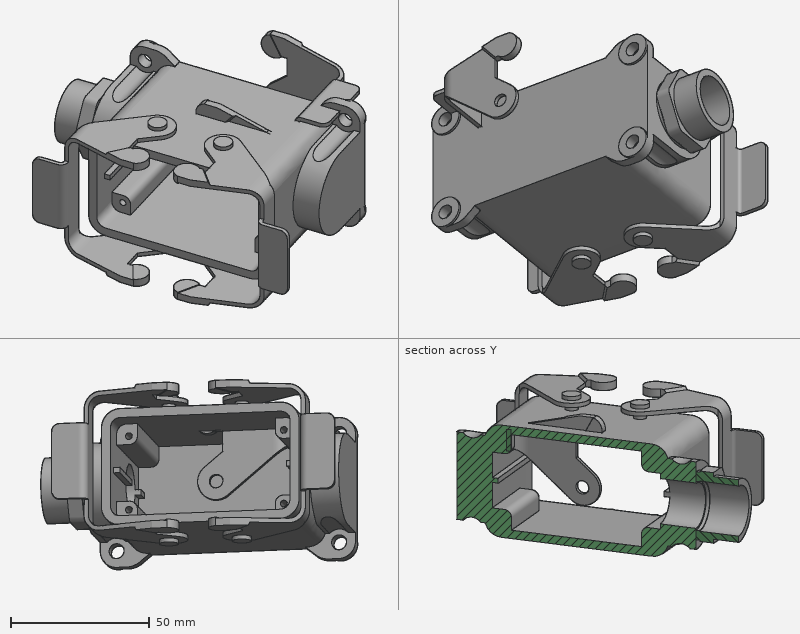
import cadquery as cq
import math


body_length = 72.8
body_height = 43.0
body_corner = 7.0
wall = 3.4
cavity_corner = body_corner - wall
rim_depth = 5.8
back_y = 55.9
floor_thickness = 3.5
draft_angle = 0.2

boss_end = 47.0
boss_radius = 16.7
boss_y = 37.2
boss_hole_diameter = 17.0

ear_radius = 6.0
ear_hole_diameter = 5.5
ear_x = boss_end - ear_radius
ear_z = 20.0
ear_thickness = 3.7
ear_pad_height = 0.9
ear_flat_end = 37.0
ear_shoulder_radius = 7.5
ear_foot_x = 28.7
ear_foot_angle = 45.0
screw_groove_radius = 4.9

post_size = 7.6
post_corner = 2.9
post_y = 11.6
post_hole_inset = 4.5
post_hole_diameter = 2.4
post_hole_depth = 11.6
rib_width = 2.0
rib_height = 2.3

pivot_x = 13.4
pivot_y = 9.8
pin_diameter = 4.9
pin_head_diameter = 7.0
pin_end = 27.2

gland_end = 63.7
pipe_diameter = 24.0
pipe_bore = 18.9
nut_flats = 26.9
nut_corner = 2.9
nut_start = 53.8
nut_end = 48.4
collar_diameter = 26.0
collar_bore = 18.4

sheet = 1.6
lever_x = 40.8
lever_z = 25.7
lever_bend = 6.0
bar_top = -2.3
bar_bottom = -10.3
eye_radius = 6.8
lever_hole_diameter = 5.0
arm_angle = 39.5
notch_x = 15.9
notch_y = -8.8
hook_x = 10.4
hook_y = -12.5
hook_radius = 4.9
hook_bottom = -17.1
hook_flat_end = 14.4
lower_edge_angle = 15.0
outer_pad = 1.2
outer_pad_slope = 0.7
inner_pad = 0.3
step_angle = 49.5
inner_step_offset = 0.7
inner_step_run = 4.5
tab_width = 27.8
tab_end = 52.1
tab_y = -13.8
tab_bend = 2.9
tab_corner = 2.9

loose_lever_shift = (-pivot_x, 55.8, 9.5)

overlap = 1.2

diagonal = math.sqrt(0.5)


def block(x0, x1, y0, y1, z0, z1):
    """Box between two opposite corners."""
    return cq.Workplane("XY").box(x1 - x0, y1 - y0, z1 - z0, centered=False).translate((x0, y0, z0))


def facing_back(y):
    """Sketch plane at height y with local axes along -X and Z, and normal +Y."""
    return cq.Workplane("XZ", origin=(0, y, 0)).transformed(rotate=(0, 180, 0))


def rod_x(diameter, x0, x1):
    """Cylinder along X on the axis of the side bosses."""
    return cq.Workplane("YZ", origin=(x0, boss_y, 0)).circle(diameter / 2).extrude(x1 - x0)


def drafted_box(length, height, corner, depth):
    """Rounded box along Y: straight over the rim depth, slightly tapered behind it."""
    outline = cq.Sketch().rect(length, height).vertices().fillet(corner)
    rim = facing_back(0).placeSketch(outline).extrude(rim_depth)
    rear = facing_back(rim_depth).placeSketch(outline).extrude(depth - rim_depth, taper=draft_angle)
    return rim.union(rear)


def make_boss():
    """Side boss at +X: a round front that runs straight into the mounting back."""
    return (
        cq.Workplane("YZ")
        .moveTo(back_y, -boss_radius)
        .lineTo(boss_y, -boss_radius)
        .threePointArc((boss_y - boss_radius, 0), (boss_y, boss_radius))
        .lineTo(back_y, boss_radius)
        .close()
        .extrude(boss_end)
    )


def make_ear():
    """Mounting ear at +X +Z: round corner, flat top, rounded shoulder and sloping foot."""
    top = ear_z + ear_radius
    bevel = math.radians(ear_foot_angle)
    shoulder_mid = bevel / 2
    shoulder_z = top - ear_shoulder_radius
    corner = ear_radius * diagonal
    shoulder_end_x = ear_flat_end - ear_shoulder_radius * math.sin(bevel)
    shoulder_end_z = shoulder_z + ear_shoulder_radius * math.cos(bevel)
    plate = (
        cq.Workplane("XZ", origin=(0, back_y, 0))
        .moveTo(boss_end, 0)
        .lineTo(boss_end, ear_z)
        .threePointArc((ear_x + corner, ear_z + corner), (ear_x, top))
        .lineTo(ear_flat_end, top)
        .threePointArc(
            (
                ear_flat_end - ear_shoulder_radius * math.sin(shoulder_mid),
                shoulder_z + ear_shoulder_radius * math.cos(shoulder_mid),
            ),
            (shoulder_end_x, shoulder_end_z),
        )
        .lineTo(ear_foot_x, body_height / 2)
        .lineTo(ear_foot_x, 0)
        .close()
        .extrude(ear_thickness)
    )
    pad = (
        cq.Workplane("XZ", origin=(ear_x, back_y + ear_pad_height, ear_z))
        .circle(ear_radius)
        .extrude(ear_pad_height + ear_thickness)
    )
    return plate.union(pad)


def ear_cutter():
    """Mounting hole at +X +Z and the groove in the boss that clears its screw."""
    hole = (
        cq.Workplane("XZ", origin=(ear_x, back_y + ear_pad_height, ear_z))
        .circle(ear_hole_diameter / 2)
        .extrude(back_y)
    )
    groove = (
        cq.Workplane("XZ", origin=(ear_x, back_y - ear_thickness, ear_z))
        .circle(screw_groove_radius)
        .extrude(back_y - ear_thickness)
    )
    return hole.union(groove)


def make_post():
    """Screw post in the +X +Z corner of the cavity."""
    side_x = body_length / 2 - wall
    side_z = body_height / 2 - wall
    start_x = side_x - post_size
    start_z = side_z - post_size
    post = block(start_x, side_x + overlap, post_y, back_y - overlap, start_z, side_z + overlap)
    post = post.edges("|Y and <X and <Z").fillet(post_corner)
    post = post.edges("|Y and >X and >Z").fillet(cavity_corner)
    hole_x = side_x - post_hole_inset
    hole_z = side_z - post_hole_inset
    hole = (
        cq.Workplane("XZ", origin=(hole_x, post_y + post_hole_depth, hole_z))
        .circle(post_hole_diameter / 2)
        .extrude(post_hole_depth)
    )
    return post.cut(hole)


def make_rib():
    """Rib along Y on the middle of the +X cavity wall."""
    side_x = body_length / 2 - wall
    return block(
        side_x - rib_height, side_x + overlap, rim_depth, back_y - overlap, -rib_width / 2, rib_width / 2
    )


def make_pin():
    """Pivot pin at +X +Z with its head outside the lever."""
    wall_z = body_height / 2 - wall / 2
    plane = cq.Workplane("XY", origin=(pivot_x, pivot_y, 0))
    shaft = plane.workplane(offset=wall_z).circle(pin_diameter / 2).extrude(pin_end - wall_z)
    head = plane.workplane(offset=lever_z).circle(pin_head_diameter / 2).extrude(pin_end - lever_z)
    return shaft.union(head)


def left_and_right(shape):
    """The shape together with its mirror image in X."""
    return shape.union(shape.mirror("YZ"))


def four_corners(shape):
    """The shape repeated in all four X, Z corners."""
    pair = left_and_right(shape)
    return pair.union(pair.mirror("XY"))


def make_housing():
    """Housing shell with bosses, ears, posts, ribs and pivot pins."""
    housing = drafted_box(body_length, body_height, body_corner, back_y)
    housing = housing.union(left_and_right(make_boss()))
    housing = housing.union(four_corners(make_ear()))
    housing = housing.cut(four_corners(ear_cutter()))
    cavity_length = body_length - 2 * wall
    cavity_height = body_height - 2 * wall
    cavity = drafted_box(cavity_length, cavity_height, cavity_corner, back_y - floor_thickness)
    housing = housing.cut(cavity)
    housing = housing.union(left_and_right(make_rib()))
    housing = housing.cut(rod_x(boss_hole_diameter, -boss_end, -body_length / 2 + wall + rib_height))
    housing = housing.union(four_corners(make_post()))
    return housing.union(four_corners(make_pin()))


def make_gland():
    """Cable gland on the -X boss: pipe, hexagon nut and collar, bored through."""
    pipe = rod_x(pipe_diameter, -gland_end, -nut_end)
    nut = (
        cq.Workplane("YZ", origin=(-nut_start, boss_y, 0))
        .polygon(6, nut_flats / math.cos(math.radians(30)))
        .extrude(nut_start - nut_end)
        .edges("|X")
        .fillet(nut_corner)
    )
    collar = rod_x(collar_diameter, -nut_end, -boss_end)
    gland = pipe.union(nut).union(collar)
    gland = gland.cut(rod_x(pipe_bore, -gland_end, -nut_end))
    return gland.cut(rod_x(collar_bore, -nut_end, -boss_end))


def arm_outline():
    """Flat outline of the lever seen along Z: eye, arm, notch, hook and bar end."""
    tilt = math.radians(arm_angle)
    rise = math.radians(lower_edge_angle)
    slope = math.tan(tilt)
    side_x = eye_radius * math.sin(tilt)
    side_y = eye_radius * math.cos(tilt)
    upper = (pivot_x + side_x, pivot_y + side_y)
    lower = (pivot_x - side_x, pivot_y - side_y)
    bar_corner_x = upper[0] + (upper[1] - bar_top) / slope
    notch_top_y = lower[1] - (notch_x - lower[0]) * slope
    hook_flat_start = hook_x - math.sqrt(hook_radius**2 - (hook_bottom - hook_y) ** 2)
    hook_join_x = hook_x + math.sqrt(hook_radius**2 - (notch_y - hook_y) ** 2)
    edge_end_x = hook_flat_end + (bar_bottom - hook_bottom) / math.tan(rise)
    return (
        cq.Workplane("XY")
        .moveTo(*upper)
        .lineTo(bar_corner_x, bar_top)
        .lineTo(lever_x, bar_top)
        .lineTo(lever_x, bar_bottom)
        .lineTo(edge_end_x, bar_bottom)
        .lineTo(hook_flat_end, hook_bottom)
        .lineTo(hook_flat_start, hook_bottom)
        .threePointArc((hook_x - hook_radius, hook_y), (hook_join_x, notch_y))
        .lineTo(notch_x, notch_y)
        .lineTo(notch_x, notch_top_y)
        .lineTo(*lower)
        .threePointArc(
            (pivot_x - eye_radius * math.cos(tilt), pivot_y + eye_radius * math.sin(tilt)), upper
        )
        .close()
    )


def bent_sheet():
    """U-shaped sheet, open towards -X, that the lever is cut from."""
    depth = 2 * (eye_radius + pivot_y - hook_y)
    length = 2 * lever_x
    outer = block(-lever_x, lever_x, -depth / 2, depth / 2, -lever_z, lever_z)
    outer = outer.edges("|Y and >X").fillet(lever_bend)
    inner_z = lever_z - sheet
    inner = block(-length, lever_x - sheet, -depth / 2, depth / 2, -inner_z, inner_z)
    inner = inner.edges("|Y and >X").fillet(lever_bend - sheet)
    return outer.cut(inner)


def outer_hook_pad(outline):
    """Thickening on the outside of the +Z hook, ending in a slope through the notch corner."""
    turn = math.radians(step_angle)
    to_tip = (-math.sin(turn), -math.cos(turn), 0)
    along_step = (-math.cos(turn), math.sin(turn), 0)
    reach = 4 * hook_radius
    step = (
        cq.Workplane(cq.Plane(origin=(notch_x, notch_y, 0), xDir=to_tip, normal=along_step))
        .moveTo(0, lever_z - sheet)
        .lineTo(0, lever_z)
        .lineTo(outer_pad_slope, lever_z + outer_pad)
        .lineTo(reach, lever_z + outer_pad)
        .lineTo(reach, lever_z - sheet)
        .close()
        .extrude(reach, both=True)
    )
    return outline.intersect(step)


def inner_hook_pad(outline):
    """Thickening on the inside of the +Z hook tip, ending in a plain step."""
    step_top_x = hook_flat_end - inner_step_offset
    tip_x = hook_x - hook_radius
    top_y = hook_y + hook_radius
    step = (
        cq.Workplane("XY", origin=(0, 0, lever_z - sheet - inner_pad))
        .moveTo(step_top_x, notch_y)
        .lineTo(step_top_x - inner_step_run, hook_bottom)
        .lineTo(tip_x, hook_bottom)
        .lineTo(tip_x, top_y)
        .lineTo(step_top_x, top_y)
        .close()
        .extrude(inner_pad + sheet)
    )
    return outline.intersect(step)


def make_tab():
    """Finger tab bent outwards from the lower edge of the lever bar."""
    bend_x = lever_x - sheet + tab_bend
    bend_y = tab_y + tab_bend
    inner_bend = tab_bend - sheet
    tab = (
        cq.Workplane("XY", origin=(0, 0, -tab_width / 2))
        .moveTo(lever_x - sheet, bar_bottom + sheet)
        .lineTo(lever_x - sheet, bend_y)
        .threePointArc((bend_x - tab_bend * diagonal, bend_y - tab_bend * diagonal), (bend_x, tab_y))
        .lineTo(tab_end, tab_y)
        .lineTo(tab_end, tab_y + sheet)
        .lineTo(bend_x, tab_y + sheet)
        .threePointArc((bend_x - inner_bend * diagonal, bend_y - inner_bend * diagonal), (lever_x, bend_y))
        .lineTo(lever_x, bar_bottom + sheet)
        .close()
        .extrude(tab_width)
    )
    return tab.edges("|Y and >X").fillet(tab_corner)


def make_lever():
    """Locking lever at +X: bent bar, two arms with eye and hook, and the finger tab."""
    outline = arm_outline().extrude(lever_z + outer_pad, both=True)
    lever = bent_sheet().intersect(outline)
    pads = outer_hook_pad(outline).union(inner_hook_pad(outline))
    lever = lever.union(pads).union(pads.mirror("XY")).union(make_tab())
    eye_holes = (
        cq.Workplane("XY", origin=(pivot_x, pivot_y, 0))
        .circle(lever_hole_diameter / 2)
        .extrude(lever_z, both=True)
    )
    return lever.cut(eye_holes)


first_lever = make_lever()
left_lever = first_lever.rotate((0, 0, 0), (0, 1, 0), 180)
loose_lever = first_lever.rotate((0, 0, 0), (1, 0, 0), -90).translate(loose_lever_shift)
levers = [first_lever, left_lever, loose_lever]

housing = make_housing().cut(loose_lever)
gland = make_gland()

bodies = [housing, gland, *levers]
result = cq.Compound.makeCompound([body.solids().val() for body in bodies])